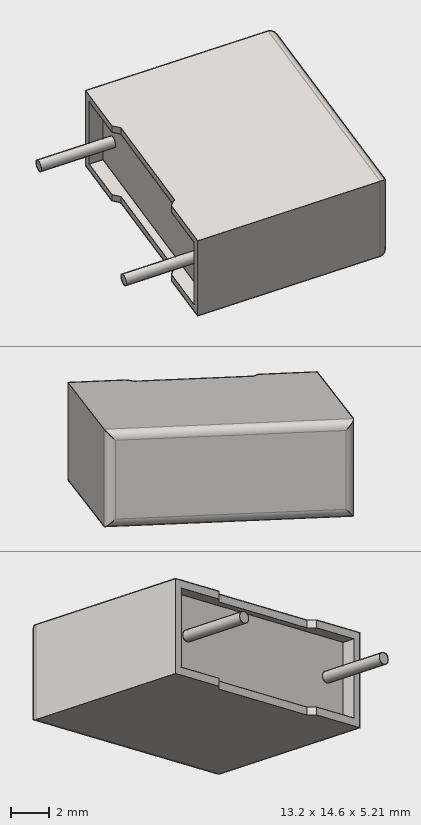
import cadquery as cq

overall_depth = 14.6
case_width = 13.2
case_depth = 11.1
case_height = 5.21
wall = 0.44
back_edge_radius = 0.5

notch_width = 7.0
notch_depth = 0.35

potting_recess = 0.8
lead_diameter = 0.64
lead_pitch = 10.0

tip_y = -overall_depth / 2
back_y = overall_depth / 2
rim_y = back_y - case_depth
potting_y = rim_y + potting_recess
cavity_back_y = back_y - wall


def block(width, height, front_y, rear_y):
    """Block centred in X and Z, running from front_y to rear_y."""
    depth = rear_y - front_y
    return cq.Workplane("XY").box(width, depth, height).translate((0, front_y + depth / 2, 0))


def make_cavity(front_y):
    """Inside space of the case from front_y to its back wall."""
    return block(case_width - 2 * wall, case_height - 2 * wall, front_y, cavity_back_y)


def make_notch_cutter():
    """Trapezoid that notches both long walls at once."""
    half_rim = notch_width / 2
    half_floor = half_rim - notch_depth
    floor_y = rim_y + notch_depth
    outline = [(-half_rim, rim_y), (half_rim, rim_y), (half_floor, floor_y), (-half_floor, floor_y)]
    return cq.Workplane("XY").polyline(outline).close().extrude(case_height / 2, both=True)


def make_case():
    """Open-fronted box with rounded edges around its closed back."""
    shell = block(case_width, case_height, rim_y, back_y)
    shell = shell.faces(">Y").edges().fillet(back_edge_radius)
    return shell.cut(make_cavity(rim_y)).cut(make_notch_cutter())


def make_potting():
    """Potting that fills the case up to the recessed front face."""
    return make_cavity(potting_y)


def make_lead(x):
    """Round lead standing on the potting face and pointing to -Y."""
    lead = cq.Workplane("XZ", origin=(x, potting_y, 0)).circle(lead_diameter / 2)
    return lead.extrude(potting_y - tip_y)


case = make_case()
potting = make_potting()
leads = [make_lead(side * lead_pitch / 2) for side in (-1, 1)]

result = cq.Compound.makeCompound([case.val(), potting.val(), *[lead.val() for lead in leads]])